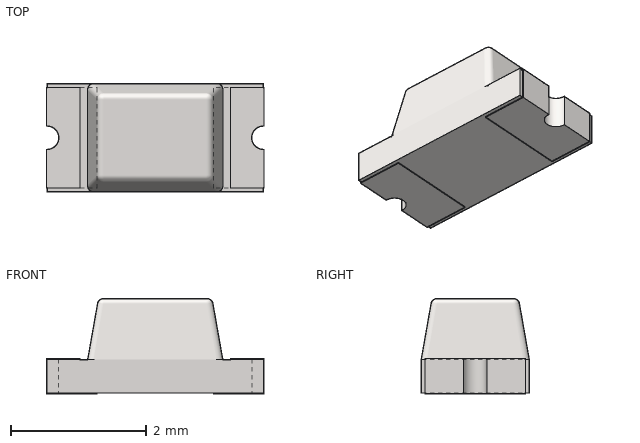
import cadquery as cq
import math

overall_length = 3.22
body_width = 1.6
body_height = 0.495
plating = 0.013

terminal_width = 1.48
top_pad_length = 0.495
bottom_pad_length = 0.75
notch_radius = 0.17
notch_inset = 0.013

lens_length = 2.0
lens_height = 0.9
lens_draft = 10.0
lens_rounding = 0.093

body_length = overall_length - 2 * plating
body_top = plating + body_height
terminal_height = body_height + 2 * plating


def make_body():
    """Plain rectangular substrate, raised by the bottom plating."""
    return (
        cq.Workplane("XY", origin=(0, 0, plating))
        .rect(body_length, body_width)
        .extrude(body_height)
    )


def make_lens():
    """Drafted block with rounded corners and a rounded top rim."""
    slope_inset = lens_height * math.tan(math.radians(lens_draft))
    block = (
        cq.Workplane("XY", origin=(0, 0, body_top))
        .rect(lens_length, body_width)
        .workplane(offset=lens_height)
        .rect(lens_length - 2 * slope_inset, body_width - 2 * slope_inset)
        .loft(ruled=True)
    )
    return block.edges("not <Z").fillet(lens_rounding)


def make_terminal(side):
    """C-shaped end plating: end wall, top pad and longer bottom pad."""
    end = side * overall_length / 2
    end_inner = side * body_length / 2
    top_inner = end - side * top_pad_length
    bottom_inner = end - side * bottom_pad_length
    profile = [
        (end, 0),
        (end, terminal_height),
        (top_inner, terminal_height),
        (top_inner, body_top),
        (end_inner, body_top),
        (end_inner, plating),
        (bottom_inner, plating),
        (bottom_inner, 0),
    ]
    return (
        cq.Workplane("XZ")
        .polyline(profile)
        .close()
        .extrude(terminal_width / 2, both=True)
    )


def make_notch(side):
    """Slot with a round inner end, open at the end face."""
    centre = side * (overall_length / 2 - notch_inset)
    round_end = cq.Workplane("XY").center(centre, 0).circle(notch_radius).extrude(terminal_height)
    mouth = (
        cq.Workplane("XY")
        .center(centre + side * notch_radius / 2, 0)
        .rect(notch_radius, 2 * notch_radius)
        .extrude(terminal_height)
    )
    return round_end.union(mouth)


result = make_body().union(make_lens())
for side in (-1, 1):
    result = result.union(make_terminal(side)).cut(make_notch(side))